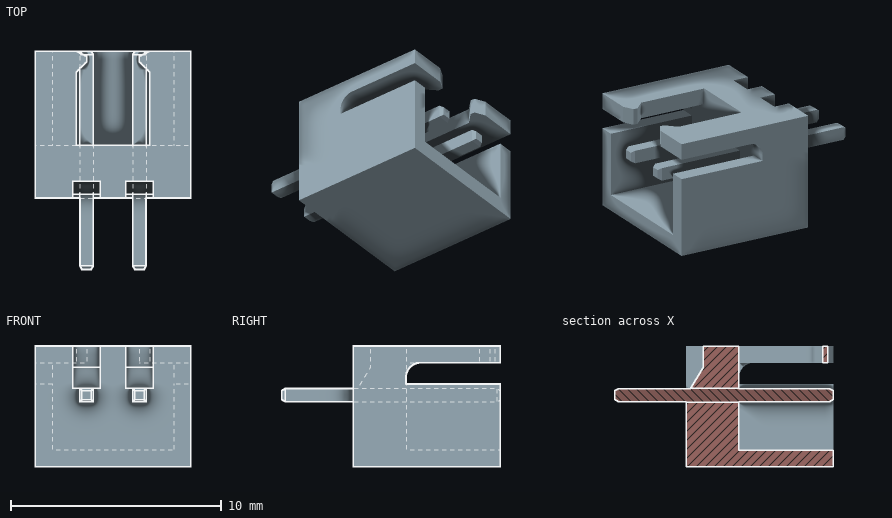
import cadquery as cq

width = 7.4
depth = 7.0
height = 5.75
wall = 0.8
half_width = width / 2
open_y = depth / 2
back_y = -depth / 2
top_z = height / 2
bottom_z = -height / 2

cavity_depth = 4.48
cavity_end_y = open_y - cavity_depth
slot_bottom_z = top_z - 1.8
slot_radius = 0.7

window_half = 1.75
hook_reach = 0.51
hook_tip_start = 0.26
hook_tip_end = 0.49

pin_pitch = 2.52
pin_size = 0.65
pin_length = 10.4
pin_top_z = top_z - 2.02
pin_taper_length = 0.18
pin_taper_inset = 0.1
pin_xs = [-pin_pitch / 2, pin_pitch / 2]
pin_z = pin_top_z - pin_size / 2

recess_width = 1.3
recess_depth = 0.8
recess_ledge = 0.2
recess_slope_top_z = top_z - 1.02


def box_between(x0, x1, y0, y1, z0, z1):
    """Box spanning the given limits along each axis."""
    return cq.Workplane("XY").box(x1 - x0, y1 - y0, z1 - z0, centered=False).translate((x0, y0, z0))


def make_cavity():
    """Mating cavity, open at the +Y end."""
    inner_half = half_width - wall
    return box_between(-inner_half, inner_half, cavity_end_y, open_y, bottom_z + wall, top_z - wall)


def make_side_slot():
    """Slot through both side walls, rounded at its upper inner corner."""
    slot = box_between(-half_width, half_width, cavity_end_y, open_y, slot_bottom_z, top_z - wall)
    return slot.edges("|X and <Y and >Z").fillet(slot_radius)


def make_window():
    """Opening in the top wall, leaving a hook on each side of its mouth."""
    tip_half = window_half - hook_reach
    right_side = [
        (window_half, cavity_end_y),
        (window_half, open_y - hook_tip_end - hook_reach),
        (tip_half, open_y - hook_tip_end),
        (tip_half, open_y - hook_tip_start),
        (window_half, open_y),
    ]
    left_side = [(-x, y) for x, y in reversed(right_side)]
    outline = cq.Workplane("XY").workplane(offset=top_z - wall).polyline(right_side + left_side).close()
    return outline.extrude(wall)


def make_recess(x):
    """Back-wall recess over one pin, with a floor sloping down to a narrow ledge."""
    return (
        cq.Workplane("YZ")
        .workplane(offset=x - recess_width / 2)
        .moveTo(back_y, top_z)
        .lineTo(back_y, pin_top_z)
        .lineTo(back_y + recess_ledge, pin_top_z)
        .lineTo(back_y + recess_depth, recess_slope_top_z)
        .lineTo(back_y + recess_depth, top_z)
        .close()
        .extrude(recess_width)
    )


def pin_section(x, y, size):
    """Square pin cross-section at one position along Y."""
    return cq.Workplane("XZ", origin=(x, y, pin_z)).rect(size, size)


def make_taper(x, base_y, tip_y):
    """Tapered end of a pin, from its full section to its tip."""
    tip_size = pin_size - 2 * pin_taper_inset
    section = pin_section(x, base_y, pin_size)
    return section.workplane(offset=base_y - tip_y).rect(tip_size, tip_size).loft(ruled=True)


def make_pin(x):
    """Pin whose inner tip is flush with the open end of the housing."""
    outer_y = open_y - pin_length
    shank_start = open_y - pin_taper_length
    shank_end = outer_y + pin_taper_length
    shank = pin_section(x, shank_start, pin_size).extrude(shank_start - shank_end)
    inner_taper = make_taper(x, shank_start, open_y)
    outer_taper = make_taper(x, shank_end, outer_y)
    return shank.union(inner_taper).union(outer_taper)


def make_housing(pins):
    """Housing with its openings and a matching hole for each pin."""
    body = cq.Workplane("XY").box(width, depth, height)
    body = body.cut(make_cavity()).cut(make_side_slot()).cut(make_window())
    for x in pin_xs:
        body = body.cut(make_recess(x))
    for pin in pins:
        body = body.cut(pin)
    return body


contact_pins = [make_pin(x) for x in pin_xs]
housing = make_housing(contact_pins)

pin_solids = [pin.solids().val() for pin in contact_pins]
result = cq.Compound.makeCompound([housing.solids().val(), *pin_solids])